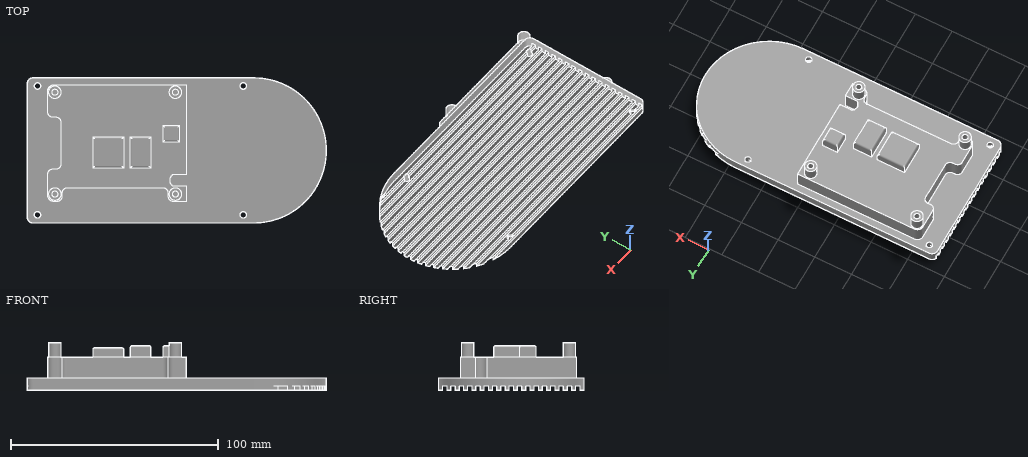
import cadquery as cq

plate_length = 144.0
plate_width = 70.0
plate_thickness = 6.0
plate_corner_radius = 3.0
end_radius = plate_width / 2
end_center_x = plate_length - end_radius

mount_hole_diameter = 3.0
mount_hole_left_x = 5.0
mount_hole_right_x = 104.0
mount_hole_y = 31.0

fin_width = 2.0
groove_width = 2.0
groove_depth = 2.0
fin_pitch = fin_width + groove_width
groove_count = int((plate_width - fin_width) / fin_pitch)

standoff_diameter = 6.0
standoff_bore = 2.9
standoff_height = 7.0
standoff_spacing_x = 58.0
standoff_spacing_y = 49.0
standoff_left_x = 13.35
standoff_right_x = standoff_left_x + standoff_spacing_x
board_center_y = 3.5
standoff_rear_y = board_center_y + standoff_spacing_y / 2
standoff_front_y = board_center_y - standoff_spacing_y / 2

edge_margin = 3.5
pedestal_height = 10.0
pedestal_length = 66.8
pedestal_left = standoff_left_x - edge_margin
pedestal_right = pedestal_left + pedestal_length
pedestal_rear = standoff_rear_y + edge_margin
pedestal_front = standoff_front_y - edge_margin
pedestal_corner_radius = 3.0
recess_radius = 2.5

left_recess_depth = 6.5
left_recess_width = 25.0
front_recess_depth = 6.5
front_recess_left = standoff_left_x + edge_margin
front_recess_right = standoff_right_x - edge_margin
slot_width = 5.5
slot_depth = 8.0
slot_end_bulge = 1.4
slot_center_y = -14.4

pad_edge_radius = 1.0
chip_pads = [
    (39.1, -1.0, 15.0, 15.0, 4.5),
    (54.6, -1.0, 10.0, 15.0, 5.5),
    (69.35, 8.0, 8.0, 8.0, 5.5),
]

pedestal_top = plate_thickness + pedestal_height


def make_plate():
    half_width = plate_width / 2
    plate = (
        cq.Workplane("XY")
        .moveTo(0, -half_width)
        .lineTo(end_center_x, -half_width)
        .threePointArc((plate_length, 0), (end_center_x, half_width))
        .lineTo(0, half_width)
        .close()
        .extrude(plate_thickness)
        .edges("|Z and <X")
        .fillet(plate_corner_radius)
    )
    hole_points = [
        (x, y)
        for x in (mount_hole_left_x, mount_hole_right_x)
        for y in (-mount_hole_y, mount_hole_y)
    ]
    holes = (
        cq.Workplane("XY")
        .pushPoints(hole_points)
        .circle(mount_hole_diameter / 2)
        .extrude(plate_thickness)
    )
    return plate.cut(holes)


def make_grooves():
    return (
        cq.Workplane("XY")
        .center(plate_length / 2, 0)
        .rarray(1, fin_pitch, 1, groove_count)
        .rect(plate_length, groove_width)
        .extrude(groove_depth)
    )


def make_block(x_min, x_max, y_min, y_max):
    """Pedestal-height block standing on the plate."""
    return (
        cq.Workplane("XY", origin=(0, 0, plate_thickness))
        .moveTo(x_min, y_min)
        .lineTo(x_max, y_min)
        .lineTo(x_max, y_max)
        .lineTo(x_min, y_max)
        .close()
        .extrude(pedestal_height)
    )


def round_upright_edges(body, points, radius):
    """Fillet the vertical pedestal edges standing at the given XY points."""
    mid_height = plate_thickness + pedestal_height / 2
    reach = 0.1
    selector = None
    for x, y in points:
        box = cq.selectors.BoxSelector(
            (x - reach, y - reach, mid_height - reach),
            (x + reach, y + reach, mid_height + reach),
        )
        selector = box if selector is None else selector + box
    return body.edges(selector).fillet(radius)


def make_side_slot():
    """Slot open on the right side, closed by a shallow arc at its inner end."""
    slot_front = slot_center_y - slot_width / 2
    slot_rear = slot_center_y + slot_width / 2
    apex_x = pedestal_right - slot_depth
    arc_start_x = apex_x + slot_end_bulge
    return (
        cq.Workplane("XY", origin=(0, 0, plate_thickness))
        .moveTo(pedestal_right, slot_front)
        .lineTo(pedestal_right, slot_rear)
        .lineTo(arc_start_x, slot_rear)
        .threePointArc((apex_x, slot_center_y), (arc_start_x, slot_front))
        .close()
        .extrude(pedestal_height)
    )


def make_pedestal():
    left_recess_x = pedestal_left + left_recess_depth
    left_recess_rear = board_center_y + left_recess_width / 2
    left_recess_front = board_center_y - left_recess_width / 2
    front_recess_y = pedestal_front + front_recess_depth

    body = make_block(pedestal_left, pedestal_right, pedestal_front, pedestal_rear)
    body = body.cut(make_block(pedestal_left, left_recess_x, left_recess_front, left_recess_rear))
    body = body.cut(make_block(front_recess_left, front_recess_right, pedestal_front, front_recess_y))

    outer_corners = [(pedestal_left, pedestal_front), (pedestal_left, pedestal_rear)]
    body = round_upright_edges(body, outer_corners, pedestal_corner_radius)

    left_recess_corners = [
        (x, y)
        for x in (pedestal_left, left_recess_x)
        for y in (left_recess_front, left_recess_rear)
    ]
    front_recess_corners = [
        (x, y)
        for x in (front_recess_left, front_recess_right)
        for y in (pedestal_front, front_recess_y)
    ]
    body = round_upright_edges(body, left_recess_corners + front_recess_corners, recess_radius)

    return body.cut(make_side_slot())


def make_standoffs():
    """Tubular standoffs bored down to the pedestal top."""
    points = [
        (x, y)
        for x in (standoff_left_x, standoff_right_x)
        for y in (standoff_front_y, standoff_rear_y)
    ]
    return (
        cq.Workplane("XY", origin=(0, 0, pedestal_top))
        .pushPoints(points)
        .circle(standoff_diameter / 2)
        .circle(standoff_bore / 2)
        .extrude(standoff_height)
    )


def make_pad(x, y, length, width, height):
    return (
        cq.Workplane("XY", origin=(x, y, pedestal_top))
        .rect(length, width)
        .extrude(height)
        .faces(">Z")
        .edges()
        .fillet(pad_edge_radius)
    )


result = make_plate().cut(make_grooves()).union(make_pedestal()).union(make_standoffs())
for pad in chip_pads:
    result = result.union(make_pad(*pad))